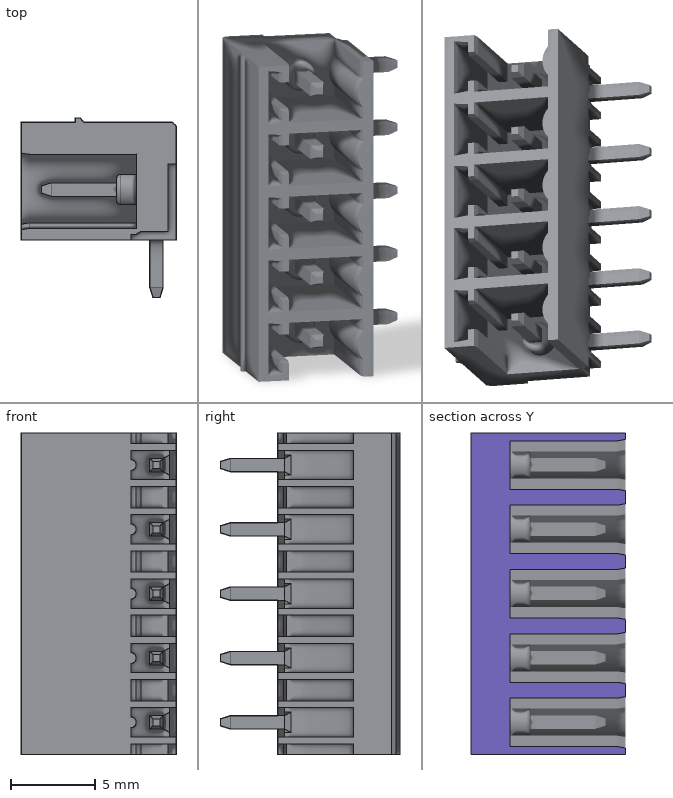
import cadquery as cq


POLE_COUNT = 5
PITCH = 3.81
ROW_LENGTH = POLE_COUNT * PITCH
HOUSING_DEPTH = 9.2
HOUSING_HEIGHT = 7.0
REAR_CHAMFER = 0.25
POLE_CENTRES = [(index + 0.5) * PITCH for index in range(POLE_COUNT)]

RIDGE_START = 3.2
RIDGE_FLAT = 0.3
RIDGE_FOOT = 0.5
RIDGE_HEIGHT = 0.25

CAVITY_DEPTH = 6.85
MOUTH_DEPTH = 0.5
MOUTH_FLARE = 0.08
CHAMBER_BOTTOM = 0.7
CHAMBER_HALF_WIDTH = 1.475
CHAMBER_DRAFT = 0.1
LIP_BOTTOM = 5.08
LIP_TOP = 5.62
LIP_HALF_GAP = 0.8
CHANNEL_TOP = 6.33
CHANNEL_HALF_WIDTH = 1.42
CHANNEL_UNDERCUT = 0.1
BULGE_HALF_WIDTH = 0.87
BULGE_HEIGHT = 0.33

PIN_SIZE = 0.8
PIN_TIP_SIZE = 0.42
PIN_TIP_LENGTH = 0.6
PIN_FRONT = 1.2
PIN_HEIGHT = 3.0
SOLDER_LEG_X = 8.02
SOLDER_LEG_LENGTH = 3.4
BOSS_DIAMETER = 1.8
BOSS_LENGTH = 1.2
BOSS_FILLET = 0.25

RECESS_START = 6.5
POLE_RECESS_WIDTH = 1.74
POLE_RECESS_DEPTH = 0.4
POLE_NOTCH_START = 8.8
SPACER_RECESS_WIDTH = 1.26
SPACER_STEP_DEPTH = 0.33
SPACER_DEPTH = 0.53
SPACER_RAMP_START = 6.8
SPACER_RAMP_END = 7.1
SPACER_NOTCH_START = 8.7
REAR_NOTCH_HEIGHT = 4.5
STUB_RADIUS = 0.32
WEDGE_END_WIDTH = 1.2


def prism(points, z_start, length):
    """Extrude an XY outline along Z."""
    return cq.Workplane("XY", origin=(0, 0, z_start)).polyline(points).close().extrude(length)


def housing_block():
    """Solid block with the upper rear edge chamfered."""
    block = cq.Workplane("XY").box(HOUSING_DEPTH, HOUSING_HEIGHT, ROW_LENGTH, centered=False)
    return block.edges(">X and >Y").chamfer(REAR_CHAMFER)


def keying_ridge():
    """Ridge with an upright front and a sloped rear flank."""
    crest = HOUSING_HEIGHT + RIDGE_HEIGHT
    outline = [
        (RIDGE_START, HOUSING_HEIGHT),
        (RIDGE_START, crest),
        (RIDGE_START + RIDGE_FLAT, crest),
        (RIDGE_START + RIDGE_FOOT, HOUSING_HEIGHT),
    ]
    return prism(outline, 0, ROW_LENGTH)


def cavity_outline(plane, flare, z_centre, z_low, z_high):
    """Draw one cavity section in YZ, with the chamber spanning z_low to z_high."""
    bottom = CHAMBER_BOTTOM - flare
    lip_bottom = LIP_BOTTOM + flare
    lip_top = LIP_TOP - flare
    top = CHANNEL_TOP + flare
    gap = LIP_HALF_GAP + flare
    neck = CHANNEL_HALF_WIDTH + flare
    wide = neck + CHANNEL_UNDERCUT
    crown = bottom + BULGE_HEIGHT
    return (
        plane.moveTo(bottom, z_low)
        .lineTo(lip_bottom, z_low)
        .lineTo(lip_bottom, z_centre - gap)
        .lineTo(lip_top, z_centre - gap)
        .lineTo(lip_top, z_centre - neck)
        .lineTo(top, z_centre - wide)
        .lineTo(top, z_centre + wide)
        .lineTo(lip_top, z_centre + neck)
        .lineTo(lip_top, z_centre + gap)
        .lineTo(lip_bottom, z_centre + gap)
        .lineTo(lip_bottom, z_high)
        .lineTo(bottom, z_high)
        .lineTo(bottom, z_centre + BULGE_HALF_WIDTH)
        .threePointArc((crown, z_centre), (bottom, z_centre - BULGE_HALF_WIDTH))
        .close()
    )


def chamber_span(z_centre, depth):
    """Z limits of a chamber at a given depth; its sides converge evenly towards the cavity floor.

    The chambers of the two outer poles run out through the ends of the housing.
    """
    half_width = CHAMBER_HALF_WIDTH + CHAMBER_DRAFT * (1 - depth / CAVITY_DEPTH)
    z_low = 0 if z_centre == POLE_CENTRES[0] else z_centre - half_width
    z_high = ROW_LENGTH if z_centre == POLE_CENTRES[-1] else z_centre + half_width
    return z_low, z_high


def plug_cavity(z_centre):
    """Cavity for one plug contact: a short flared mouth followed by the chamber and latch channel."""
    front_span = chamber_span(z_centre, 0)
    throat_span = chamber_span(z_centre, MOUTH_DEPTH)
    floor_span = chamber_span(z_centre, CAVITY_DEPTH)
    front = cavity_outline(cq.Workplane("YZ"), MOUTH_FLARE, z_centre, *front_span)
    throat_plane = front.workplane(offset=MOUTH_DEPTH)
    mouth = cavity_outline(throat_plane, 0, z_centre, *throat_span).loft(ruled=True)
    throat = cavity_outline(cq.Workplane("YZ", origin=(MOUTH_DEPTH, 0, 0)), 0, z_centre, *throat_span)
    floor_plane = throat.workplane(offset=CAVITY_DEPTH - MOUTH_DEPTH)
    chamber = cavity_outline(floor_plane, 0, z_centre, *floor_span).loft(ruled=True)
    return mouth.union(chamber).clean()


def pole_recess(z_centre):
    """Recess around a solder leg, with a rounded stub at the front and a wedge behind the leg."""
    z_start = z_centre - POLE_RECESS_WIDTH / 2
    outline = [
        (RECESS_START, 0),
        (RECESS_START, POLE_RECESS_DEPTH),
        (POLE_NOTCH_START, POLE_RECESS_DEPTH),
        (POLE_NOTCH_START, REAR_NOTCH_HEIGHT),
        (HOUSING_DEPTH, REAR_NOTCH_HEIGHT),
        (HOUSING_DEPTH, 0),
    ]
    stub = (
        cq.Workplane("XZ", origin=(RECESS_START, 0, z_centre))
        .circle(STUB_RADIUS)
        .extrude(-POLE_RECESS_DEPTH)
    )
    return prism(outline, z_start, POLE_RECESS_WIDTH).cut(stub).union(leg_wedge(z_centre))


def leg_wedge(z_centre):
    """Sloped cut behind a solder leg: trapezoid in plan, deepening at 45 degrees to the rear."""
    leg_rear = SOLDER_LEG_X + PIN_SIZE / 2
    wedge_length = POLE_NOTCH_START - leg_rear
    slope = [
        (leg_rear, POLE_RECESS_DEPTH),
        (POLE_NOTCH_START, POLE_RECESS_DEPTH),
        (POLE_NOTCH_START, POLE_RECESS_DEPTH + wedge_length),
    ]
    plan = [
        (leg_rear, z_centre - PIN_SIZE / 2),
        (POLE_NOTCH_START, z_centre - WEDGE_END_WIDTH / 2),
        (POLE_NOTCH_START, z_centre + WEDGE_END_WIDTH / 2),
        (leg_rear, z_centre + PIN_SIZE / 2),
    ]
    plan_column = cq.Workplane("XZ").polyline(plan).close().extrude(-HOUSING_HEIGHT)
    return prism(slope, z_centre - WEDGE_END_WIDTH / 2, WEDGE_END_WIDTH).intersect(plan_column)


def spacer_recess(z_centre):
    """Stepped recess between two poles, open to the rear face."""
    outline = [
        (RECESS_START, 0),
        (RECESS_START, SPACER_STEP_DEPTH),
        (SPACER_RAMP_START, SPACER_STEP_DEPTH),
        (SPACER_RAMP_END, SPACER_DEPTH),
        (SPACER_NOTCH_START, SPACER_DEPTH),
        (SPACER_NOTCH_START, REAR_NOTCH_HEIGHT),
        (HOUSING_DEPTH, REAR_NOTCH_HEIGHT),
        (HOUSING_DEPTH, 0),
    ]
    return prism(outline, z_centre - SPACER_RECESS_WIDTH / 2, SPACER_RECESS_WIDTH)


def tapered_leg(plane, length):
    """Square leg starting on a plane and ending in a tapered tip."""
    shank_length = length - PIN_TIP_LENGTH
    shank = plane.rect(PIN_SIZE, PIN_SIZE).extrude(shank_length)
    tip = (
        shank.faces(cq.selectors.DirectionMinMaxSelector(plane.plane.zDir, True))
        .workplane()
        .rect(PIN_SIZE, PIN_SIZE)
        .workplane(offset=PIN_TIP_LENGTH)
        .rect(PIN_TIP_SIZE, PIN_TIP_SIZE)
        .loft(combine=False)
    )
    return shank.union(tip)


def bent_pin(z_centre):
    """Right-angled pin: a mating leg towards the front and a solder leg towards the board."""
    leg_rear = SOLDER_LEG_X + PIN_SIZE / 2
    leg_top = PIN_HEIGHT + PIN_SIZE / 2
    mating_plane = cq.Workplane(cq.Plane((leg_rear, PIN_HEIGHT, z_centre), (0, 1, 0), (-1, 0, 0)))
    solder_plane = cq.Workplane("XZ", origin=(SOLDER_LEG_X, leg_top, z_centre))
    mating_leg = tapered_leg(mating_plane, leg_rear - PIN_FRONT)
    solder_leg = tapered_leg(solder_plane, leg_top + SOLDER_LEG_LENGTH)
    return mating_leg.union(solder_leg)


def pin_boss(z_centre):
    """Round collar around the mating leg on the cavity floor."""
    return (
        cq.Workplane("YZ", origin=(CAVITY_DEPTH, PIN_HEIGHT, z_centre))
        .circle(BOSS_DIAMETER / 2)
        .extrude(-BOSS_LENGTH)
        .faces("<X")
        .edges()
        .fillet(BOSS_FILLET)
    )


result = housing_block().union(keying_ridge())

for spacer_index in range(POLE_COUNT + 1):
    result = result.cut(spacer_recess(spacer_index * PITCH))

for pole_centre in POLE_CENTRES:
    result = result.cut(plug_cavity(pole_centre)).cut(pole_recess(pole_centre))
    result = result.union(pin_boss(pole_centre)).union(bent_pin(pole_centre))